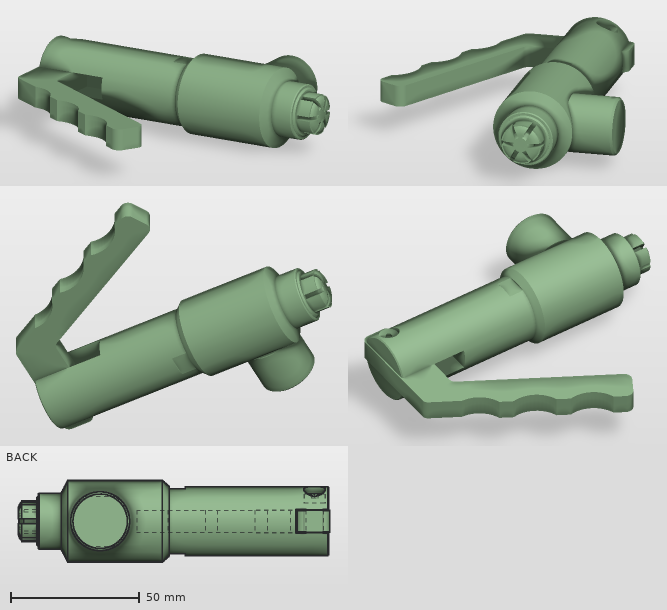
import cadquery as cq
import math

TOTAL_LENGTH = 121.3

BARREL_START = 0.4
BARREL_DIAMETER = 26.9
BARREL_CHAMFER = 0.5
NECK_START = 56.3
NECK_HALF_HEIGHT = 12.7
BODY_DIAMETER = 31.8
BODY_CONE_START = 62.5
BODY_START = 65.1
BODY_END = 102.0
NOSE_START = 104.5
NOSE_END = 113.4
NOSE_DIAMETER = 22.0
NOSE_CHAMFER = 0.4
RING_DIAMETER = 19.4
RING_END = 114.1
RING_CHAMFER = 0.6

COLLET_DIAMETER = 16.0
COLLET_SHOULDER = 119.9
COLLET_CROWN_DIAMETER = 14.9
COLLET_TIP_DIAMETER = 9.0
COLLET_SLOT_COUNT = 6
COLLET_SLOT_WIDTH = 1.8
COLLET_CORE_DIAMETER = 9.7
COLLET_CORE_END = 121.0
COLLET_CORE_CHAMFER = 2.0

SPOUT_X = 89.4
SPOUT_DIAMETER = 22.9
SPOUT_BASE = 12.5
SPOUT_TOP = 31.4
SPOUT_CHAMFER = 0.8

LEVER_THICKNESS = 8.5
LEVER_HEAD_TOP = 15.3
LEVER_HEAD_WIDTH = 12.7
LEVER_HEAD_RADIUS = 2.7
LEVER_SHANK_WIDTH = 15.4
LEVER_SHOULDER = -1.2
GRIP_ANGLE = 30.0
GRIP_LENGTH = 95.9
GRIP_INNER = 13.7
GRIP_HEEL = 24.9
GRIP_OUTER = 26.4
GRIP_END_RADIUS = 3.2
ELBOW_RADIUS = 2.7
FINGER_COUNT = 3
FINGER_FIRST = 35.0
FINGER_PITCH = 22.3
FINGER_HALF_WIDTH = 8.4
FINGER_DEPTH = 3.2

SLOT_CLEARANCE = 0.2
SLOT_WIDTH = LEVER_THICKNESS + 2 * SLOT_CLEARANCE
SLOT_SHORT_END = LEVER_HEAD_WIDTH + 2 * SLOT_CLEARANCE
SLOT_LONG_END = 29.2
SLOT_SHOULDER = LEVER_SHOULDER + 2 * SLOT_CLEARANCE

PIVOT_X = 6.0
PIVOT_Y = 5.1
PIN_DIAMETER = 6.7
PIN_BORE_DIAMETER = 6.9
PIN_HEAD_DIAMETER = 8.1
PIN_HEAD_TOP = 10.7
PIN_HEAD_BASE = 7.3
COUNTERBORE_DIAMETER = 8.4
SOCKET_FLATS = 2.4
SOCKET_DEPTH = 1.5


def revolve_about_axis(outline):
    """Turn a half outline in the XY plane about the X axis."""
    return outline.close().revolve(360, (0, 0, 0), (1, 0, 0))


def make_turned_body():
    barrel = BARREL_DIAMETER / 2
    body = BODY_DIAMETER / 2
    nose = NOSE_DIAMETER / 2
    ring = RING_DIAMETER / 2
    return revolve_about_axis(
        cq.Workplane("XY")
        .moveTo(BARREL_START, 0)
        .lineTo(BARREL_START, barrel - BARREL_CHAMFER)
        .lineTo(BARREL_START + BARREL_CHAMFER, barrel)
        .lineTo(BODY_CONE_START, barrel)
        .lineTo(BODY_START, body)
        .lineTo(BODY_END, body)
        .lineTo(NOSE_START, nose)
        .lineTo(NOSE_END - NOSE_CHAMFER, nose)
        .lineTo(NOSE_END, nose - NOSE_CHAMFER)
        .lineTo(NOSE_END, ring)
        .lineTo(RING_END - RING_CHAMFER, ring)
        .lineTo(RING_END, ring - RING_CHAMFER)
        .lineTo(RING_END, 0)
    )


def make_neck_flats():
    """Material removed above and below the neck to leave two wrench flats."""
    flat_cut_depth = BODY_DIAMETER / 2 - NECK_HALF_HEIGHT
    upper = (
        cq.Workplane("XY")
        .box(BODY_CONE_START - NECK_START, BODY_DIAMETER, flat_cut_depth, centered=(False, True, False))
        .translate((NECK_START, 0, NECK_HALF_HEIGHT))
    )
    return upper.union(upper.mirror("XY"))


def make_collet():
    """Domed tip with radial slots that reach down to a plain core."""
    crown = COLLET_CROWN_DIAMETER / 2
    tip = COLLET_TIP_DIAMETER / 2
    shell = revolve_about_axis(
        cq.Workplane("XY")
        .moveTo(RING_END, 0)
        .lineTo(TOTAL_LENGTH, 0)
        .lineTo(TOTAL_LENGTH, tip)
        .tangentArcPoint((COLLET_SHOULDER, crown), relative=False)
        .lineTo(COLLET_SHOULDER, COLLET_DIAMETER / 2)
        .lineTo(RING_END, COLLET_DIAMETER / 2)
    )
    slot = (
        cq.Workplane("XY")
        .box(TOTAL_LENGTH - RING_END, COLLET_DIAMETER, COLLET_SLOT_WIDTH, centered=(False, False, True))
        .translate((RING_END, 0, 0))
    )
    for index in range(COLLET_SLOT_COUNT):
        shell = shell.cut(slot.rotate((0, 0, 0), (1, 0, 0), index * 360 / COLLET_SLOT_COUNT))
    core = (
        cq.Workplane("YZ", origin=(RING_END, 0, 0))
        .circle(COLLET_CORE_DIAMETER / 2)
        .extrude(COLLET_CORE_END - RING_END)
        .faces(">X")
        .chamfer(COLLET_CORE_CHAMFER)
    )
    return shell.union(core)


def make_spout():
    return (
        cq.Workplane("XZ", origin=(SPOUT_X, SPOUT_BASE, 0))
        .circle(SPOUT_DIAMETER / 2)
        .extrude(SPOUT_BASE - SPOUT_TOP)
        .faces(">Y")
        .chamfer(SPOUT_CHAMFER)
    )


def make_lever_slot():
    """Slot across the barrel, longer on the side where the lever swings."""
    reach = BODY_DIAMETER
    return (
        cq.Workplane("XY")
        .moveTo(0, reach)
        .lineTo(SLOT_SHORT_END, reach)
        .lineTo(SLOT_SHORT_END, SLOT_SHOULDER)
        .lineTo(SLOT_LONG_END, SLOT_SHOULDER)
        .lineTo(SLOT_LONG_END, -reach)
        .lineTo(0, -reach)
        .close()
        .extrude(SLOT_WIDTH / 2, both=True)
    )


def pivot_cylinder(diameter, bottom, top):
    return (
        cq.Workplane("XY", origin=(PIVOT_X, PIVOT_Y, bottom))
        .circle(diameter / 2)
        .extrude(top - bottom)
    )


def make_pivot_pin():
    """Pin across the slot, with a hexagon socket in its head."""
    head = pivot_cylinder(PIN_HEAD_DIAMETER, PIN_HEAD_BASE, PIN_HEAD_TOP)
    shank = pivot_cylinder(PIN_DIAMETER, -SLOT_WIDTH / 2, PIN_HEAD_BASE)
    socket = (
        cq.Workplane("XY", origin=(PIVOT_X, PIVOT_Y, PIN_HEAD_TOP - SOCKET_DEPTH))
        .polygon(6, SOCKET_FLATS, circumscribed=True)
        .extrude(SOCKET_DEPTH)
    )
    return head.union(shank).cut(socket)


def make_housing():
    """Turned body with spout, collet and the fixed pivot pin."""
    counterbore = pivot_cylinder(COUNTERBORE_DIAMETER, PIN_HEAD_BASE, BODY_DIAMETER)
    return (
        make_turned_body()
        .cut(make_neck_flats())
        .union(make_spout())
        .union(make_collet())
        .cut(make_lever_slot())
        .cut(counterbore)
        .union(make_pivot_pin())
    )


def grip_point(along, across):
    """Point given along the sloping grip and across it, away from the barrel."""
    slope = math.radians(GRIP_ANGLE)
    return (
        along * math.cos(slope) - across * math.sin(slope),
        -along * math.sin(slope) - across * math.cos(slope),
    )


def make_lever_blank():
    """Lever plate with its corners rounded, before the finger grooves."""
    slope = math.radians(GRIP_ANGLE)
    heel_corner = (0, -GRIP_HEEL / math.cos(slope))
    elbow_corner = (
        LEVER_SHANK_WIDTH,
        -GRIP_INNER / math.cos(slope) - LEVER_SHANK_WIDTH * math.tan(slope),
    )
    plate = (
        cq.Workplane("XY")
        .moveTo(0, LEVER_HEAD_TOP)
        .lineTo(LEVER_HEAD_WIDTH, LEVER_HEAD_TOP)
        .lineTo(LEVER_HEAD_WIDTH, LEVER_SHOULDER)
        .lineTo(LEVER_SHANK_WIDTH, LEVER_SHOULDER)
        .lineTo(*elbow_corner)
        .lineTo(*grip_point(GRIP_LENGTH, GRIP_INNER))
        .lineTo(*grip_point(GRIP_LENGTH, GRIP_OUTER))
        .lineTo(*grip_point(FINGER_FIRST, GRIP_OUTER))
        .lineTo(*grip_point(FINGER_FIRST, GRIP_HEEL))
        .lineTo(*heel_corner)
        .close()
        .extrude(LEVER_THICKNESS / 2, both=True)
    )
    plate = plate.edges("|Z and >Y").fillet(LEVER_HEAD_RADIUS)
    for corner in (heel_corner, elbow_corner):
        plate = plate.edges(cq.selectors.NearestToPointSelector((*corner, 0))).fillet(ELBOW_RADIUS)
    for across in (GRIP_INNER, GRIP_OUTER):
        end_corner = (*grip_point(GRIP_LENGTH, across), 0)
        plate = plate.edges(cq.selectors.NearestToPointSelector(end_corner)).fillet(GRIP_END_RADIUS)
    return plate


def make_lever():
    lever = make_lever_blank()
    groove_radius = (FINGER_HALF_WIDTH**2 + FINGER_DEPTH**2) / (2 * FINGER_DEPTH)
    for index in range(FINGER_COUNT):
        centre = grip_point(
            FINGER_FIRST + index * FINGER_PITCH,
            GRIP_OUTER - FINGER_DEPTH + groove_radius,
        )
        groove = (
            cq.Workplane("XY")
            .center(*centre)
            .circle(groove_radius)
            .extrude(LEVER_THICKNESS / 2, both=True)
        )
        lever = lever.cut(groove)
    return lever.cut(pivot_cylinder(PIN_BORE_DIAMETER, -LEVER_THICKNESS / 2, LEVER_THICKNESS / 2))


housing = make_housing()
lever = make_lever()

result = cq.Compound.makeCompound([housing.val(), lever.val()])